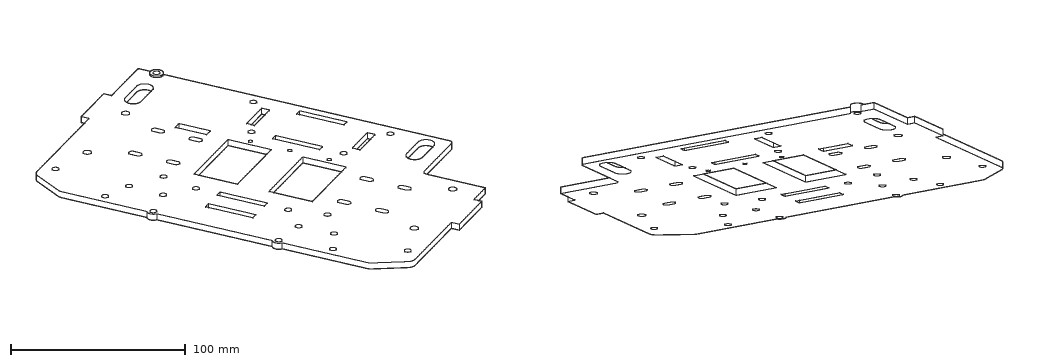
import cadquery as cq

THICKNESS = 4.0
HEIGHT = 150.0
HALF_WIDTH = 120.0
HALF_WIDTH_OVER_TABS = 125.0
TAB_LENGTH = 30.0
LEFT_TAB_Y = 99.8
RIGHT_TAB_Y = 78.5

NOTCH_X = 80.0
NOTCH_Y = 108.8
NOTCH_RADIUS = 2.5

SLOPE_END_X = 98.2
SLOPE_END_Y = 12.5
SLOPE_RADIUS = 5.0

BOSS_X = -107.5
BOSS_Y = 148.2
BOSS_DIAMETER = 8.0
BOSS_HEIGHT = 5.0
LUG_X = 39.8
LUG_Y = 2.0
LUG_DIAMETER = 7.5

SCREW_DIAMETER = 4.0
SCREW_POSITIONS = [
    (43.5, 142.8),
    (29.2, 110.5),
    (29.2, 36.8),
    (52.0, 41.2),
    (111.8, 22.8),
    (65.0, 22.8),
    (43.0, 21.8),
    (72.2, 6.0),
    (LUG_X, LUG_Y),
]
MOUNT_DIAMETER = 4.8
MOUNT_POSITIONS = [(103.8, 99.2), (103.8, 48.2)]
PILOT_DIAMETER = 2.5
PILOT_PITCH = 25.0
PILOT_Y = 100.2

WINDOW_WIDTH = 27.5
WINDOW_HEIGHT = 45.0
WINDOW_X = 23.8
WINDOW_Y = 74.0
CENTRE_SLOT_LENGTH = 30.0
CENTRE_SLOT_WIDTH = 4.0
CENTRE_SLOT_YS = [142.8, 110.5, 36.8, 21.5]
SHORT_SLOT_LENGTH = 20.0
SHORT_SLOT_WIDTH = 5.0
UPRIGHT_SLOT_X = 33.5
UPRIGHT_SLOT_Y = 128.2
SIDE_SLOT_X = -61.0
SIDE_SLOT_Y = 99.0

ADJUSTER_LENGTH = 8.0
ADJUSTER_WIDTH = 4.0
ADJUSTER_XS = [54.2, 78.2]
ADJUSTER_YS = [88.8, 58.8]
CABLE_SLOT_LENGTH = 25.0
CABLE_SLOT_WIDTH = 10.0
CABLE_SLOT_POSITIONS = [(-106.8, 123.2), (67.0, 133.2)]

SELECTION_MARGIN = 1.2


def mirrored(points):
    """Return the points together with their mirror images across X = 0."""
    return [(side * x, y) for x, y in points for side in (1, -1)]


def cylinders(points, diameter, height=THICKNESS):
    """Upright cylinders standing on the underside of the plate."""
    return cq.Workplane("XY").pushPoints(points).circle(diameter / 2).extrude(height)


def rectangles(points, width, height):
    """Blocks of plate thickness centred on the points."""
    return cq.Workplane("XY").pushPoints(points).rect(width, height).extrude(THICKNESS)


def obrounds(points, length, width, angle=0):
    """Round-ended blocks of plate thickness centred on the points."""
    return cq.Workplane("XY").pushPoints(points).slot2D(length, width, angle).extrude(THICKNESS)


def upright_edges_in(low_corner, high_corner):
    """Selector for plate edges inside a box slightly larger than the given rectangle."""
    return cq.selectors.BoxSelector(
        (low_corner[0] - SELECTION_MARGIN, low_corner[1] - SELECTION_MARGIN, 0),
        (high_corner[0] + SELECTION_MARGIN, high_corner[1] + SELECTION_MARGIN, THICKNESS),
    )


def plate_blank():
    """Plate with notch and sloped corners, before the tabs are added."""
    blank = (
        cq.Workplane("XY")
        .polyline([
            (-SLOPE_END_X, 0),
            (SLOPE_END_X, 0),
            (HALF_WIDTH, SLOPE_END_Y),
            (HALF_WIDTH, NOTCH_Y),
            (NOTCH_X, NOTCH_Y),
            (NOTCH_X, HEIGHT),
            (-HALF_WIDTH, HEIGHT),
            (-HALF_WIDTH, SLOPE_END_Y),
        ])
        .close()
        .extrude(THICKNESS)
    )
    lower_corners = upright_edges_in((-HALF_WIDTH, 0), (HALF_WIDTH, SLOPE_END_Y))
    notch_corners = upright_edges_in((NOTCH_X, NOTCH_Y), (NOTCH_X, HEIGHT))
    blank = blank.edges("|Z").edges(lower_corners).fillet(SLOPE_RADIUS)
    return blank.edges("|Z").edges(notch_corners).fillet(NOTCH_RADIUS)


def side_tabs():
    """Blocks centred on the side faces, so that their outer halves form the tabs."""
    tab_width = HALF_WIDTH_OVER_TABS - HALF_WIDTH
    centres = [(-HALF_WIDTH, LEFT_TAB_Y), (HALF_WIDTH, RIGHT_TAB_Y)]
    return rectangles(centres, 2 * tab_width, TAB_LENGTH)


boss_position = [(BOSS_X, BOSS_Y)]
pilot_positions = [(step * PILOT_PITCH, PILOT_Y) for step in (-1, 0, 1)]
centre_slots = [(0, y) for y in CENTRE_SLOT_YS]
adjusters = mirrored([(x, y) for x in ADJUSTER_XS for y in ADJUSTER_YS])

result = plate_blank().union(side_tabs())
result = result.union(cylinders(boss_position, BOSS_DIAMETER, BOSS_HEIGHT))
result = result.union(cylinders(mirrored([(LUG_X, LUG_Y)]), LUG_DIAMETER))

result = result.cut(cylinders(boss_position, SCREW_DIAMETER, BOSS_HEIGHT))
result = result.cut(cylinders(mirrored(SCREW_POSITIONS), SCREW_DIAMETER))
result = result.cut(cylinders(mirrored(MOUNT_POSITIONS), MOUNT_DIAMETER))
result = result.cut(cylinders(pilot_positions, PILOT_DIAMETER))

result = result.cut(rectangles(mirrored([(WINDOW_X, WINDOW_Y)]), WINDOW_WIDTH, WINDOW_HEIGHT))
result = result.cut(rectangles(centre_slots, CENTRE_SLOT_LENGTH, CENTRE_SLOT_WIDTH))
result = result.cut(
    rectangles(mirrored([(UPRIGHT_SLOT_X, UPRIGHT_SLOT_Y)]), SHORT_SLOT_WIDTH, SHORT_SLOT_LENGTH)
)
result = result.cut(rectangles([(SIDE_SLOT_X, SIDE_SLOT_Y)], SHORT_SLOT_LENGTH, SHORT_SLOT_WIDTH))

result = result.cut(obrounds(adjusters, ADJUSTER_LENGTH, ADJUSTER_WIDTH))
result = result.cut(obrounds(CABLE_SLOT_POSITIONS, CABLE_SLOT_LENGTH, CABLE_SLOT_WIDTH, 90))